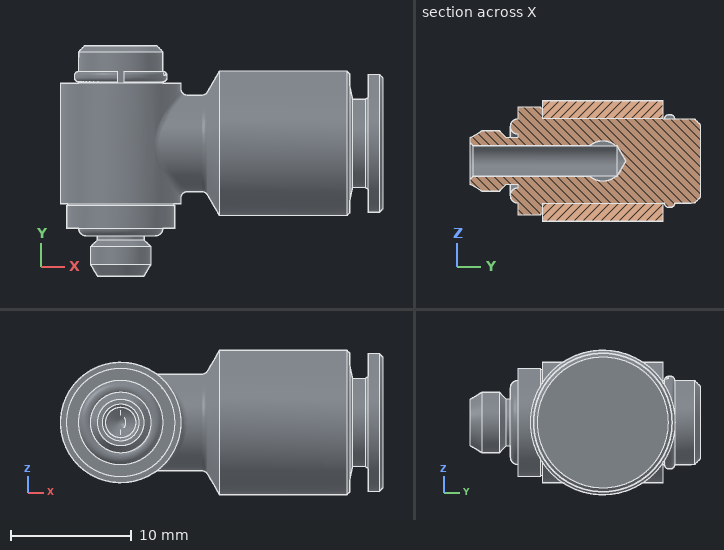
import cadquery as cq
import math


sleeve_radius = 5.0
sleeve_half_length = 5.0
saddle_fillet = 0.5

neck_radius = 4.0
barrel_diameter = 12.0
barrel_radius = barrel_diameter / 2
barrel_start = 8.17
barrel_end = 18.95
barrel_rim_chamfer = 0.25
shoulder_angle = 60.0
shoulder_fillet = 0.5
end_cone_radius = 4.8
end_cone_length = 0.25
collar_radius = 3.65
collar_flare = 0.15
collar_flare_start = 20.25
flange_radius = 5.71
flange_start = 20.48
flange_end = 21.7
flange_chamfer = 0.3

stem_radius = 3.5
stem_rear = 8.1
stem_rear_chamfer = 0.5
retaining_ring_radius = 3.85
retaining_ring_rear = 5.95
retaining_ring_front = 5.1
retaining_ring_round = 0.35
retaining_ring_gap = 0.5
relief_radius = 4.4
relief_length = 0.15
shoulder_radius = 4.49
shoulder_front = -7.02
seal_round = 0.65
groove_radius = 1.95
groove_front = -8.0
plug_radius = 2.5
plug_flare_front = -8.55
plug_taper_start = -10.0
plug_tip = -11.0
plug_tip_radius = 1.92

bore_radius = 1.25
bore_mouth_radius = 1.52
bore_mouth_depth = 0.27
cross_bore_radius = 1.65
bore_tip_overrun = 0.25
bore_tip_angle = 120.0


def make_sleeve():
    return cq.Workplane("XZ").circle(sleeve_radius).extrude(sleeve_half_length, both=True)


def make_branch():
    """Neck, barrel and release collar, turned about X from the sleeve axis outwards."""
    shoulder_start = barrel_start - (barrel_radius - neck_radius) / math.tan(math.radians(shoulder_angle))
    profile = [
        (0, 0),
        (0, neck_radius),
        (shoulder_start, neck_radius),
        (barrel_start, barrel_radius),
        (barrel_end - barrel_rim_chamfer, barrel_radius),
        (barrel_end, barrel_radius - barrel_rim_chamfer),
        (barrel_end, end_cone_radius),
        (barrel_end + end_cone_length, collar_radius),
        (collar_flare_start, collar_radius),
        (flange_start, collar_radius + collar_flare),
        (flange_start, flange_radius),
        (flange_end - flange_chamfer, flange_radius),
        (flange_end, flange_radius - flange_chamfer),
        (flange_end, 0),
    ]
    branch = cq.Workplane("XY").polyline(profile).close().revolve(360, (0, 0, 0), (1, 0, 0))
    edge_margin = 0.03
    shoulder_edge = cq.selectors.BoxSelector(
        (shoulder_start - edge_margin, -barrel_radius, -barrel_radius),
        (shoulder_start + edge_margin, barrel_radius, barrel_radius),
        boundingbox=True,
    )
    return branch.edges(shoulder_edge).fillet(shoulder_fillet)


def make_elbow():
    elbow = make_sleeve().union(make_branch())
    margin = 0.27
    saddle_edges = cq.selectors.BoxSelector(
        (margin, margin - sleeve_half_length, -sleeve_radius),
        (sleeve_radius + margin, sleeve_half_length - margin, sleeve_radius),
        boundingbox=True,
    )
    elbow = elbow.edges(saddle_edges).fillet(saddle_fillet)
    stem_bore = cq.Workplane("XZ").circle(stem_radius).extrude(sleeve_half_length, both=True)
    return elbow.cut(stem_bore)


def make_stem_blank():
    """Stem turned about Y, with its half-round seal at the front of the shoulder."""
    seal_front = shoulder_front - seal_round
    seal_middle = stem_radius - seal_round
    return (
        cq.Workplane("XY")
        .moveTo(0, stem_rear)
        .lineTo(stem_radius - stem_rear_chamfer, stem_rear)
        .lineTo(stem_radius, stem_rear - stem_rear_chamfer)
        .lineTo(stem_radius, -sleeve_half_length)
        .lineTo(relief_radius, -sleeve_half_length)
        .lineTo(relief_radius, -sleeve_half_length - relief_length)
        .lineTo(shoulder_radius, -sleeve_half_length - relief_length)
        .lineTo(shoulder_radius, shoulder_front)
        .lineTo(stem_radius, shoulder_front)
        .threePointArc((seal_middle, seal_front), (seal_middle - seal_round, shoulder_front))
        .lineTo(groove_radius, shoulder_front)
        .lineTo(groove_radius, groove_front)
        .lineTo(plug_radius, plug_flare_front)
        .lineTo(plug_radius, plug_taper_start)
        .lineTo(plug_tip_radius, plug_tip)
        .lineTo(0, plug_tip)
        .close()
        .revolve(360, (0, 0, 0), (0, 1, 0))
    )


def make_retaining_ring():
    """Rounded split ring on the rear of the stem, with its gap facing +Z."""
    ring_width = retaining_ring_rear - retaining_ring_front
    ring = (
        cq.Workplane("XZ", origin=(0, retaining_ring_rear, 0))
        .circle(retaining_ring_radius)
        .extrude(ring_width)
        .edges()
        .fillet(retaining_ring_round)
    )
    gap = cq.Workplane("XY").box(
        retaining_ring_gap, ring_width, retaining_ring_radius, centered=(True, False, False)
    )
    return ring.cut(gap.translate((0, retaining_ring_front, 0)))


def make_flow_bore():
    """Bore with a countersunk mouth, whose conical bottom runs just past the cross bore."""
    cone_tip = cross_bore_radius + bore_tip_overrun
    cone_length = bore_radius / math.tan(math.radians(bore_tip_angle / 2))
    profile = [
        (0, plug_tip),
        (bore_mouth_radius, plug_tip),
        (bore_radius, plug_tip + bore_mouth_depth),
        (bore_radius, cone_tip - cone_length),
        (0, cone_tip),
    ]
    return cq.Workplane("XY").polyline(profile).close().revolve(360, (0, 0, 0), (0, 1, 0))


def make_cross_bore():
    """Flat-ended side bore from the stem axis out towards the branch."""
    return cq.Workplane("YZ").circle(cross_bore_radius).extrude(stem_radius)


def make_stem():
    return make_stem_blank().union(make_retaining_ring()).cut(make_flow_bore()).cut(make_cross_bore())


elbow = make_elbow()
stem = make_stem()

result = cq.Compound.makeCompound([elbow.val(), stem.val()])